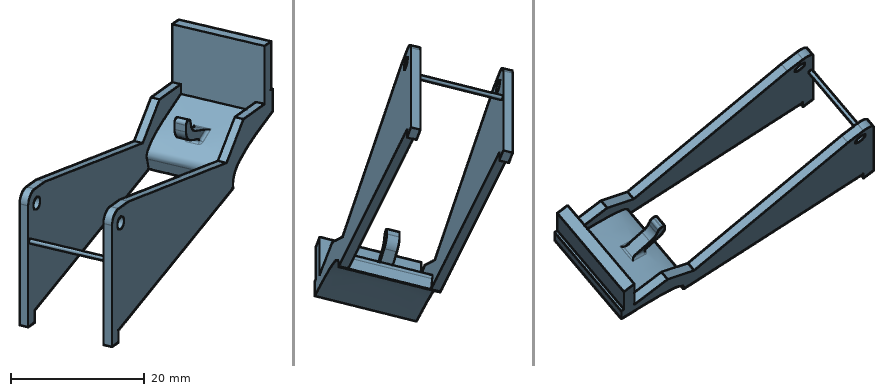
import cadquery as cq
import math

width = 16.0
length = 48.55
height = 31.53
wall = 1.5
inner_width = width - 2 * wall

arm_top = 22.0
end_radius = 2.0
end_flat_limit = 5.0
valley = (34.55, 16.8)
rail_front = 39.65
foot_length = 2.0
foot_height = 2.0
hole_diameter = 2.0
hole_inset = 2.6

back_plate_thickness = 2.0
step_depth = 0.5
step_top = 23.5
step_bottom = 19.85
plate_back = length - step_depth
plate_front = plate_back - back_plate_thickness

lip_tip = (36.4, 11.78)
lip_length = 2.0
lip_lean = math.radians(16.4)
lip_top = (
    lip_tip[0] - lip_length * math.sin(lip_lean),
    lip_tip[1] + lip_length * math.cos(lip_lean),
)
upper_start = (plate_front, 20.4)
upper_curve = [(41.0, 18.25), (38.0, 16.65), (36.25, 15.2), (35.75, 14.35), lip_top]
lower_corner = (36.6, 11.84)
lower_inner_points = [(36.62, 13.2), (37.3, 14.55), (39.0, 15.93), (41.9, 17.45)]
lower_end = (length, step_bottom)

hook_width = 2.0
hook_tip_radius = 0.6
hook_tip_flat = 0.1
hook_bend_radius = 2.0
hook_front = valley[0]
hook_lean = math.radians(17.5)
hook_front_straight = 1.1
hook_back_straight = 0.95
hook_fillet = 0.5
shank_top_end_y = 41.3
shank_underside_end_y = 39.7

wire_diameter = 0.75
wire_y = 0.58
wire_z = 13.96


def extrude_across(outline, thickness, x_start):
    """Extrude a (Y, Z) outline along +X from x_start."""
    return outline.extrude(thickness).translate((x_start, 0, 0))


def side_arm(x_start):
    """One side arm with its foot, rounded end and pivot hole."""
    outline = (
        cq.Workplane("YZ")
        .lineTo(0, arm_top - end_radius)
        .radiusArc((end_radius, arm_top), end_radius)
        .lineTo(end_flat_limit, arm_top)
        .lineTo(*valley)
        .lineTo(rail_front, arm_top)
        .lineTo(length, arm_top)
        .lineTo(*lower_end)
        .spline([*reversed(lower_inner_points), lower_corner], includeCurrent=True)
        .lineTo(foot_length, foot_height)
        .lineTo(foot_length, 0)
        .close()
    )
    hole = cq.Workplane("YZ").center(hole_inset, arm_top - hole_inset).circle(hole_diameter / 2)
    return extrude_across(outline, wall, x_start).cut(extrude_across(hole, wall, x_start))


def back_and_web():
    """Back plate, its rear step and the curved web, as one section across the full width."""
    outline = (
        cq.Workplane("YZ")
        .moveTo(*upper_start)
        .spline(upper_curve, includeCurrent=True)
        .lineTo(*lip_tip)
        .lineTo(*lower_corner)
        .spline([*lower_inner_points, lower_end], includeCurrent=True)
        .lineTo(length, step_top)
        .lineTo(plate_back, step_top)
        .lineTo(plate_back, height)
        .lineTo(plate_front, height)
        .close()
    )
    return extrude_across(outline, width, -width / 2)


def hook():
    """Hook: a sloping shank bent up into a round-ended finger."""
    lean_sin = math.sin(hook_lean)
    lean_cos = math.cos(hook_lean)
    slope = math.tan(hook_lean)
    tip_z = arm_top - hook_tip_radius
    tip_flat_front = hook_front + hook_tip_radius
    tip_flat_back = tip_flat_front + hook_tip_flat

    front_bend_z = tip_z - hook_front_straight
    front_bend_end = (
        hook_front + hook_bend_radius * (1 - lean_sin),
        front_bend_z - hook_bend_radius * lean_cos,
    )
    underside_end_z = front_bend_end[1] - slope * (shank_underside_end_y - front_bend_end[0])

    tip_end = (tip_flat_back + hook_tip_radius * lean_cos, tip_z + hook_tip_radius * lean_sin)
    back_bend_start = (
        tip_end[0] + hook_back_straight * lean_sin,
        tip_end[1] - hook_back_straight * lean_cos,
    )
    back_bend_end = (
        back_bend_start[0] + hook_bend_radius * (lean_cos - lean_sin),
        back_bend_start[1] + hook_bend_radius * (lean_sin - lean_cos),
    )
    top_end_z = back_bend_end[1] - slope * (shank_top_end_y - back_bend_end[0])

    outline = (
        cq.Workplane("YZ")
        .moveTo(hook_front, tip_z)
        .radiusArc((tip_flat_front, arm_top), hook_tip_radius)
        .lineTo(tip_flat_back, arm_top)
        .radiusArc(tip_end, hook_tip_radius)
        .lineTo(*back_bend_start)
        .radiusArc(back_bend_end, -hook_bend_radius)
        .lineTo(shank_top_end_y, top_end_z)
        .lineTo(shank_underside_end_y, underside_end_z)
        .lineTo(*front_bend_end)
        .radiusArc((hook_front, front_bend_z), hook_bend_radius)
        .close()
    )
    return extrude_across(outline, hook_width, -hook_width / 2)


def build_frame():
    """Web with the filleted hook, back plate and both side arms, as one solid."""
    hook_foot = cq.selectors.BoxSelector((-hook_width, 38.5, 16.0), (hook_width, 41.5, 18.5))
    frame = back_and_web().union(hook()).edges(hook_foot).fillet(hook_fillet)
    for x_start in (-width / 2, width / 2 - wall):
        frame = frame.union(side_arm(x_start))
    return frame


def build_wire():
    """Straight wire that spans the gap between the arms."""
    section = cq.Workplane("YZ").center(wire_y, wire_z).circle(wire_diameter / 2)
    return extrude_across(section, inner_width, -inner_width / 2)


frame = build_frame()
wire = build_wire()

result = cq.Compound.makeCompound([frame.val(), wire.val()])